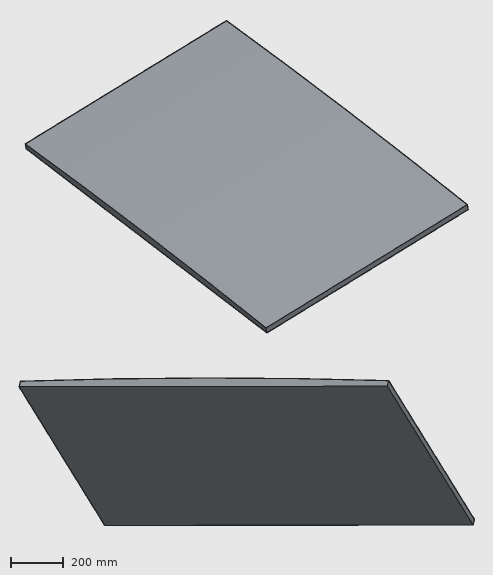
import cadquery as cq
import math

overall_length = 1482.0
width = 965.0
edge_thickness = 25.0
crown = 13.0
slope_angle = 13.25

slope = math.radians(slope_angle)
panel_length = (overall_length - edge_thickness * math.sin(slope)) / math.cos(slope)
half_length = panel_length / 2

panel = (
    cq.Workplane("XZ")
    .moveTo(-half_length, 0)
    .lineTo(half_length, 0)
    .lineTo(half_length, edge_thickness)
    .threePointArc((0, edge_thickness + crown), (-half_length, edge_thickness))
    .close()
    .extrude(width / 2, both=True)
)

result = panel.rotate((0, 0, 0), (0, 1, 0), -slope_angle)